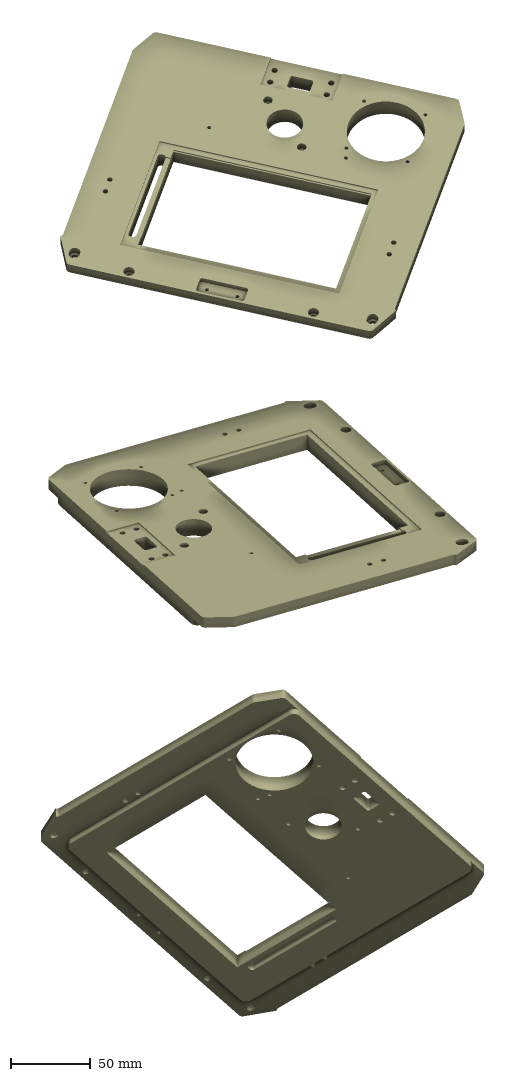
import cadquery as cq
import math

total_height = 12.0
flange_thickness = 7.5
top_z = total_height
flange_bottom_z = top_z - flange_thickness

half_depth = 99.0
side_x = 108.5
corner_cut_x = 99.5
corner_cut_y = 81.0
spur_x = 109.75
spur_tip_y = -77.9
spur_root_y = -76.2
end_corner_radius = 3.0
side_corner_radius = 4.0

tier_width = 178.0
tier_depth = 186.0
tier_corner_radius = 4.5

seat_width = 143.0
seat_height = 88.5
seat_y = -30.4
seat_depth = 1.0
window_left = -61.2
window_right = 68.2
window_bottom = -70.5
window_top = 10.3
lip_width = 0.8
lip_drop = 1.0
slot_x = -67.0
slot_width = 5.0
slot_length = 70.0
slot_corner_radius = 2.0
strip_length = 67.5
strip_drop = 1.0

panel_width = 47.0
panel_depth = 23.0
panel_drop = 1.0
panel_hole_diameter = 4.0
panel_hole_spacing_x = 37.0
panel_hole_spacing_y = 10.0
panel_hole_y = 85.4
switch_width = 15.0
switch_height = 9.5
switch_y = 84.3
switch_corner_radius = 1.5

motor_y = 49.5
motor_boss_diameter = 23.0
motor_screw_spacing = 31.0
motor_screw_diameter = 2.8
motor_head_diameter = 6.0
head_depth = 5.0

fan_x = 62.75
fan_y = 61.0
fan_diameter = 49.0
fan_screw_spacing = 40.0
fan_screw_diameter = 2.5

pilot_x = 44.7
pilot_y = 33.2
pilot_diameter = 2.5
side_hole_x = 92.75
side_hole_y = -30.0
side_hole_spacing = 10.0
side_hole_diameter = 3.5

pocket_width = 31.5
pocket_height = 11.0
pocket_y = -92.0
pocket_depth = 3.5
pocket_corner_radius = 1.5
pocket_hole_spacing = 20.0
pocket_hole_diameter = 2.5

front_screw_x = 60.3
front_screw_y = -94.0
front_screw_diameter = 4.0
front_head_diameter = 7.0
corner_screw_x = 97.4
corner_screw_y = -89.0
corner_screw_diameter = 4.0
corner_screw_travel = 1.5


def block(width, depth, x, y, bottom=0.0, top=top_z):
    """Box centred on (x, y) between two levels."""
    return cq.Workplane("XY", origin=(x, y, bottom)).rect(width, depth).extrude(top - bottom)


def round_cutter(diameter, points, bottom=0.0):
    """Cylinders at the points, from a floor level up to the top face."""
    return (
        cq.Workplane("XY", origin=(0, 0, bottom))
        .pushPoints(points)
        .circle(diameter / 2)
        .extrude(top_z - bottom)
    )


def obround_cutter(diameter, points, bottom=0.0):
    """Obrounds, long along Y, from a floor level up to the top face."""
    return (
        cq.Workplane("XY", origin=(0, 0, bottom))
        .pushPoints(points)
        .slot2D(diameter + corner_screw_travel, diameter, 90)
        .extrude(top_z - bottom)
    )


def mirrored_pair(x, y):
    """Two points, one on each side of the YZ plane."""
    return [(-x, y), (x, y)]


def grid_points(x, y, spacing_x, spacing_y):
    """Four points at the corners of a rectangle centred on (x, y)."""
    return [
        (x + i * spacing_x / 2, y + j * spacing_y / 2)
        for i in (-1, 1)
        for j in (-1, 1)
    ]


def make_flange():
    spur_reach = spur_x - side_x
    spur_chord = math.hypot(spur_reach, spur_root_y - spur_tip_y)
    spur_radius = spur_chord**2 / (2 * spur_reach)
    plate = (
        cq.Workplane("XY", origin=(0, 0, flange_bottom_z))
        .moveTo(-corner_cut_x, -half_depth)
        .lineTo(corner_cut_x, -half_depth)
        .lineTo(spur_x, spur_tip_y)
        .radiusArc((side_x, spur_root_y), spur_radius)
        .lineTo(side_x, corner_cut_y)
        .lineTo(corner_cut_x, half_depth)
        .lineTo(-corner_cut_x, half_depth)
        .lineTo(-side_x, corner_cut_y)
        .lineTo(-side_x, spur_root_y)
        .radiusArc((-spur_x, spur_tip_y), spur_radius)
        .close()
        .extrude(flange_thickness)
    )
    plate = plate.edges("|Z").edges("<Y or >Y").fillet(end_corner_radius)
    middle_z = flange_bottom_z + flange_thickness / 2
    for x, y in mirrored_pair(side_x, corner_cut_y):
        corner_edge = cq.selectors.NearestToPointSelector((x, y, middle_z))
        plate = plate.edges(corner_edge).fillet(side_corner_radius)
    return plate


def make_tier():
    tier = block(tier_width, tier_depth, 0, half_depth - tier_depth / 2, top=flange_bottom_z)
    return tier.edges("|Z").fillet(tier_corner_radius)


def cut_display(body):
    seat_z = top_z - seat_depth
    window_x = (window_left + window_right) / 2
    window_width = window_right - window_left
    window_height = window_top - window_bottom
    window_y = (window_top + window_bottom) / 2
    body = body.cut(block(seat_width, seat_height, 0, seat_y, seat_z))

    body = body.cut(block(window_width, window_height, window_x, window_y, seat_z - lip_drop))
    body = body.cut(block(window_width, window_height - lip_width, window_x, window_y - lip_width / 2))

    slot = block(slot_width, slot_length, slot_x, seat_y)
    body = body.cut(slot.edges("|Z").fillet(slot_corner_radius))
    strip_width = window_left - slot_x
    strip_x = (window_left + slot_x) / 2
    return body.cut(block(strip_width, strip_length, strip_x, seat_y, seat_z - strip_drop))


def cut_switch_panel(body):
    body = body.cut(block(panel_width, panel_depth, 0, half_depth - panel_depth / 2, top_z - panel_drop))
    opening = block(switch_width, switch_height, 0, switch_y)
    body = body.cut(opening.edges("|Z").fillet(switch_corner_radius))
    holes = grid_points(0, panel_hole_y, panel_hole_spacing_x, panel_hole_spacing_y)
    return body.cut(round_cutter(panel_hole_diameter, holes))


def cut_motor_mount(body):
    offset = motor_screw_spacing / 2
    screws = [(-offset, motor_y + offset), (offset, motor_y - offset)]
    body = body.cut(round_cutter(motor_boss_diameter, [(0, motor_y)]))
    body = body.cut(round_cutter(motor_screw_diameter, screws))
    return body.cut(round_cutter(motor_head_diameter, screws, top_z - head_depth))


def cut_fan_mount(body):
    screws = grid_points(fan_x, fan_y, fan_screw_spacing, fan_screw_spacing)
    body = body.cut(round_cutter(fan_diameter, [(fan_x, fan_y)]))
    return body.cut(round_cutter(fan_screw_diameter, screws))


def cut_small_holes(body):
    side_holes = grid_points(0, side_hole_y, 2 * side_hole_x, side_hole_spacing)
    body = body.cut(round_cutter(side_hole_diameter, side_holes))
    return body.cut(round_cutter(pilot_diameter, mirrored_pair(pilot_x, pilot_y)))


def cut_front_pocket(body):
    pocket = block(pocket_width, pocket_height, 0, pocket_y, top_z - pocket_depth)
    body = body.cut(pocket.edges("|Z").fillet(pocket_corner_radius))
    holes = mirrored_pair(pocket_hole_spacing / 2, pocket_y)
    return body.cut(round_cutter(pocket_hole_diameter, holes))


def cut_front_screws(body):
    head_floor = top_z - head_depth
    front_screws = mirrored_pair(front_screw_x, front_screw_y)
    corner_screws = mirrored_pair(corner_screw_x, corner_screw_y)
    body = body.cut(round_cutter(front_screw_diameter, front_screws))
    body = body.cut(round_cutter(front_head_diameter, front_screws, head_floor))
    body = body.cut(obround_cutter(corner_screw_diameter, corner_screws))
    return body.cut(obround_cutter(front_head_diameter, corner_screws, head_floor))


def make_top_plate():
    body = make_flange().union(make_tier())
    body = cut_display(body)
    body = cut_switch_panel(body)
    body = cut_motor_mount(body)
    body = cut_fan_mount(body)
    body = cut_small_holes(body)
    body = cut_front_pocket(body)
    return cut_front_screws(body)


top_plate = make_top_plate()

result = cq.Compound.makeCompound([top_plate.val()])